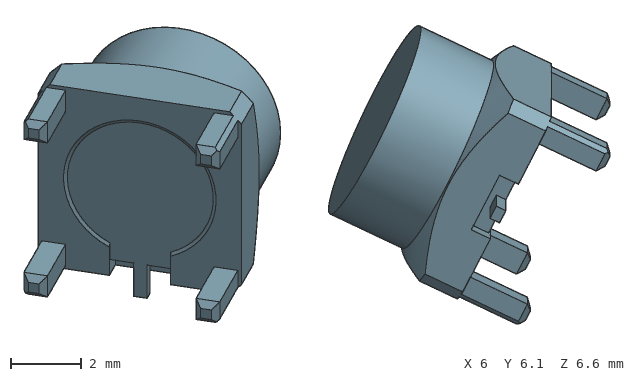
import cadquery as cq
import math


base_side = 6.0
base_depth = 1.8
corner_chamfer = 0.35
shoulder_angle = 30

can_radius = 2.95
can_length = 2.3

pin_side = 0.7
pin_length = 2.0
pin_spacing = 5.08
pin_tip_chamfer = 0.19

recess_mouth_radius = 2.25
recess_floor_radius = 2.15
recess_depth = 0.05
slot_width = 1.795
notch_top = 2.5
notch_depth = 0.6

lead_width = 0.4
lead_thickness = 0.305
lead_overhang = 0.6

half_side = base_side / 2
lead_bottom = half_side + lead_overhang


def box(x_min, x_max, y_min, y_max, z_min, z_max):
    size = (x_max - x_min, y_max - y_min, z_max - z_min)
    return cq.Workplane().box(*size, centered=False).translate((x_min, y_min, z_min))


def chamfered_square(y_min, y_max):
    """Square prism along Y with cut corners."""
    block = box(-half_side, half_side, y_min, y_max, -half_side, half_side)
    return block.edges("|Y").chamfer(corner_chamfer)


def turned(profile):
    """Solid of revolution about Y from (radius, y) points."""
    return cq.Workplane("XY").polyline(profile).close().revolve(360, (0, 0), (0, 1))


def make_base():
    """Base whose rear corners slope away from the can as a cone."""
    corner_radius = math.hypot(half_side, half_side)
    slope_depth = (corner_radius - can_radius) * math.tan(math.radians(shoulder_angle))
    envelope = turned([
        (0, 0),
        (corner_radius, 0),
        (corner_radius, base_depth - slope_depth),
        (can_radius, base_depth),
        (0, base_depth),
    ])
    return chamfered_square(0, base_depth).intersect(envelope)


def make_can():
    return turned([
        (0, base_depth / 2),
        (can_radius, base_depth / 2),
        (can_radius, base_depth + can_length),
        (0, base_depth + can_length),
    ])


def make_pins():
    """Four tapered pins, their outer corners trimmed flush with the base corners."""
    pin = box(-pin_side / 2, pin_side / 2, -pin_length, 0, -pin_side / 2, pin_side / 2)
    pin = pin.faces("<Y").chamfer(pin_tip_chamfer)
    pins = cq.Workplane()
    for x in (-pin_spacing / 2, pin_spacing / 2):
        for z in (-pin_spacing / 2, pin_spacing / 2):
            pins = pins.add(pin.translate((x, 0, z)))
    return pins.combine().intersect(chamfered_square(-pin_length, 0))


def make_recess():
    dish = turned([
        (0, 0),
        (recess_mouth_radius, 0),
        (recess_floor_radius, recess_depth),
        (0, recess_depth),
    ])
    slot = box(-slot_width / 2, slot_width / 2, 0, recess_depth, -half_side, 0)
    notch = box(-slot_width / 2, slot_width / 2, 0, notch_depth, -half_side, -notch_top)
    return dish.union(slot).union(notch)


def make_lead():
    lead_back = recess_depth + lead_thickness
    return box(-lead_width / 2, lead_width / 2, recess_depth, lead_back, -lead_bottom, -notch_top)


body = make_base().union(make_can()).cut(make_recess())
result = body.union(make_pins()).union(make_lead())